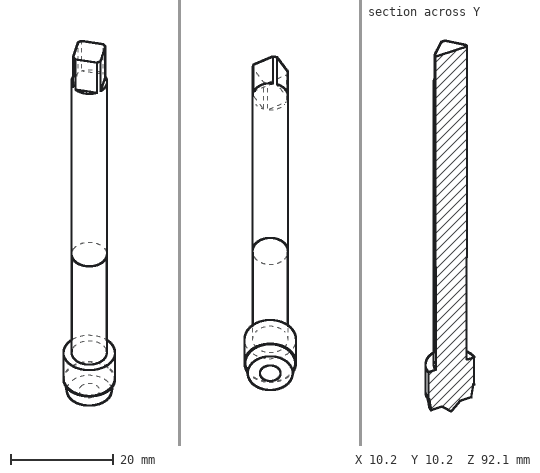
import cadquery as cq

total_length = 92.1
tip_height = 2.0
nose_height = 3.0
collar_height = 7.0
lower_shank_height = 26.2
square_height = 8.0

collar_radius = 5.1
nose_top_radius = 4.9
nose_end_radius = 4.4
shank_radius = 3.5
lower_shank_diameter = 6.9
lower_shank_radius = lower_shank_diameter / 2
square_across_flats = 5.5

nose_top = tip_height + nose_height
collar_top = nose_top + collar_height
lower_shank_top = collar_top + lower_shank_height
square_base = total_length - square_height


def revolved_body():
    """Pointed tip with 45 degree sides, tapered nose, collar and shank slightly relieved above the collar."""
    profile = (
        cq.Workplane("XZ")
        .moveTo(0, 0)
        .lineTo(tip_height, tip_height)
        .lineTo(nose_end_radius, tip_height)
        .lineTo(nose_top_radius, nose_top)
        .lineTo(collar_radius, nose_top)
        .lineTo(collar_radius, collar_top)
        .lineTo(lower_shank_radius, collar_top)
        .lineTo(lower_shank_radius, lower_shank_top)
        .lineTo(shank_radius, lower_shank_top)
        .lineTo(shank_radius, total_length)
        .lineTo(0, total_length)
        .close()
    )
    return profile.revolve(360, (0, 0, 0), (0, 1, 0))


def square_drive_waste():
    """Ring of material to remove so that a square with rounded corners is left."""
    square = (
        cq.Workplane("XY")
        .rect(square_across_flats, square_across_flats)
        .extrude(square_height)
        .rotate((0, 0, 0), (0, 0, 1), 45)
    )
    blank = cq.Workplane("XY").circle(collar_radius).extrude(square_height)
    return blank.cut(square).translate((0, 0, square_base))


result = revolved_body().cut(square_drive_waste())